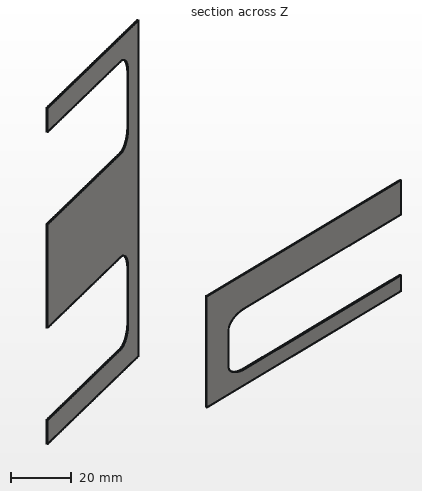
import cadquery as cq

thickness = 0.5
width = 80.0
height = 120.0

outer_arm_height = 8.5
slot_height = 33.0
spine_width = 9.0
slot_corner_radius = 6.6

slot_depth = width - spine_width
slot_center_y = -width / 2 + slot_depth / 2
slot_center_z = height / 2 - outer_arm_height - slot_height / 2


def make_slot(center_z):
    """Cutter for one open slot, rounded at its closed +Y end."""
    return (
        cq.Workplane("XY")
        .box(thickness, slot_depth, slot_height)
        .edges("|X and >Y")
        .fillet(slot_corner_radius)
        .translate((0, slot_center_y, center_z))
    )


result = cq.Workplane("XY").box(thickness, width, height)
for side in (-1, 1):
    result = result.cut(make_slot(side * slot_center_z))